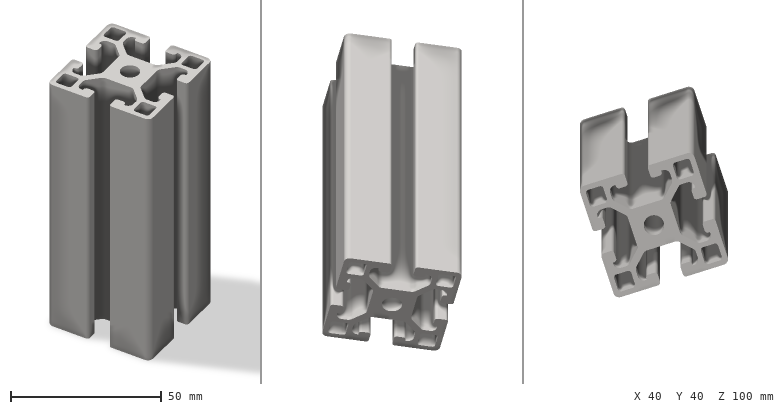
import cadquery as cq

profile_width = 40.0
profile_length = 100.0
outer_corner_radius = 2.0

slot_opening = 8.0
lip_thickness = 4.5
lip_edge_radius = 1.0
lip_hook_width = 4.0
hook_recess_height = 1.5
slot_inner_width = 21.0
recess_corner_radius = 2.0
slot_shoulder_radius = 2.0
slot_floor_radius = 2.0

core_width = 15.0
core_bore_diameter = 6.8
web_thickness = 2.5
cavity_width = 6.0
cavity_wall = 1.8
cavity_corner_radius = 1.0

half_width = profile_width / 2
half_opening = slot_opening / 2
half_slot = slot_inner_width / 2
half_core = core_width / 2
lip_inner_face = half_width - lip_thickness
hook_side = half_opening + lip_hook_width
recess_top = lip_inner_face + hook_recess_height
web_rise = web_thickness / 2 ** 0.5
shoulder_height = half_slot + web_rise
half_floor = half_core - web_rise
cavity_offset = half_width - cavity_wall - cavity_width / 2


def make_block():
    block = cq.Workplane("XY").rect(profile_width, profile_width).extrude(profile_length)
    return block.edges("|Z").fillet(outer_corner_radius)


def round_corners(body, corners, radius):
    """Round the lengthwise edges standing at the given corners and at their mirror images in X."""
    selected = None
    for x, y in corners:
        for side in (-1, 1):
            point = (side * x, y, profile_length / 2)
            edge = cq.selectors.NearestToPointSelector(point)
            selected = edge if selected is None else selected + edge
    return body.edges(selected).fillet(radius)


def make_slot_cutter():
    """T-slot space on the +Y side, with its hooked lips, sloping shoulders and flat floor."""
    right_half = [
        (half_opening, half_width),
        (half_opening, lip_inner_face),
        (hook_side, lip_inner_face),
        (hook_side, recess_top),
        (half_slot, recess_top),
        (half_slot, shoulder_height),
        (half_floor, half_core),
    ]
    left_half = [(-x, y) for x, y in reversed(right_half)]
    cutter = cq.Workplane("XY").polyline(right_half + left_half).close().extrude(profile_length)

    lip_corners = [(half_opening, lip_inner_face), (hook_side, lip_inner_face)]
    cutter = round_corners(cutter, lip_corners, lip_edge_radius)
    cutter = round_corners(cutter, [(half_slot, recess_top)], recess_corner_radius)
    cutter = round_corners(cutter, [(half_slot, shoulder_height)], slot_shoulder_radius)
    return round_corners(cutter, [(half_floor, half_core)], slot_floor_radius)


def cut_slots(body):
    cutter = make_slot_cutter()
    for quarter_turn in range(4):
        body = body.cut(cutter.rotate((0, 0, 0), (0, 0, 1), 90 * quarter_turn))
    return body


def round_slot_mouths(body):
    """Round the outer lip edges on both sides of every slot opening."""
    body = round_corners(body, [(half_opening, half_width), (half_opening, -half_width)], lip_edge_radius)
    return round_corners(body, [(half_width, half_opening), (half_width, -half_opening)], lip_edge_radius)


def make_corner_cavities():
    spacing = 2 * cavity_offset
    cavities = (
        cq.Workplane("XY")
        .rect(spacing, spacing, forConstruction=True)
        .vertices()
        .rect(cavity_width, cavity_width)
        .extrude(profile_length)
    )
    return cavities.edges("|Z").fillet(cavity_corner_radius)


def make_core_bore():
    return cq.Workplane("XY").circle(core_bore_diameter / 2).extrude(profile_length)


profile = cut_slots(make_block())
profile = round_slot_mouths(profile)
profile = profile.cut(make_corner_cavities())
result = profile.cut(make_core_bore())